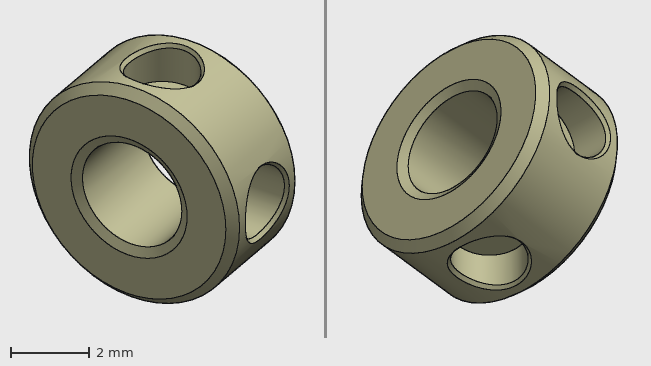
import cadquery as cq
import math

outer_diameter = 6.35
width = 3.17
bore_diameter = 3.0
outer_chamfer = 0.255
bore_chamfer_width = 0.255
bore_chamfer_angle = 30
bore_chamfer_depth = bore_chamfer_width * math.tan(math.radians(bore_chamfer_angle))

hole_count = 4
hole_diameter = 1.98
hole_depth = 1.15
mouth_chamfer_width = 0.065
mouth_chamfer_depth = 0.11
flare_stretch = 1.5
cutter_clearance = 0.32
curve_points = 32

outer_radius = outer_diameter / 2
hole_radius = hole_diameter / 2


def make_ring():
    """Ring chamfered on its outer edges and countersunk at both ends of the bore."""
    ring = (
        cq.Workplane("XZ")
        .circle(outer_radius)
        .extrude(width / 2, both=True)
        .faces("<Y or >Y")
        .edges()
        .chamfer(outer_chamfer)
    )
    bore_radius = bore_diameter / 2
    mouth_radius = bore_radius + bore_chamfer_width
    half_width = width / 2
    chamfer_start = half_width - bore_chamfer_depth
    bore = (
        cq.Workplane("XY")
        .moveTo(0, -half_width)
        .lineTo(mouth_radius, -half_width)
        .lineTo(bore_radius, -chamfer_start)
        .lineTo(bore_radius, chamfer_start)
        .lineTo(mouth_radius, half_width)
        .lineTo(0, half_width)
        .close()
        .revolve(360, (0, 0), (0, 1))
    )
    return ring.cut(bore)


def closed_curve(point_at):
    """Smooth closed wire through points evenly spaced by angle around a hole."""
    angles = [2 * math.pi * step / curve_points for step in range(curve_points)]
    points = [cq.Vector(*point_at(angle)) for angle in angles]
    return cq.Wire.assembleEdges([cq.Edge.makeSpline(points, periodic=True)])


def chamfer_height(angle):
    """Height of the inset ring surface above the point where the chamfer is centred."""
    inset_radius = outer_radius - mouth_chamfer_depth
    x = (hole_radius + mouth_chamfer_width) * math.cos(angle)
    return math.sqrt(inset_radius**2 - x**2)


def hole_wall_point(angle, z):
    return hole_radius * math.cos(angle), hole_radius * math.sin(angle), z


def mouth_point(angle):
    """Outer edge of the mouth chamfer, carried out from the inset surface along its normal."""
    outward_scale = outer_radius / (outer_radius - mouth_chamfer_depth)
    mouth_radius = hole_radius + mouth_chamfer_width
    x = mouth_radius * math.cos(angle) * outward_scale
    y = mouth_radius * math.sin(angle)
    return x, y, chamfer_height(angle) * outward_scale


def flared_point(angle):
    """Point where the slope of the mouth chamfer, carried on, has left the ring."""
    start = cq.Vector(*hole_wall_point(angle, chamfer_height(angle)))
    mouth = cq.Vector(*mouth_point(angle))
    return (start + (mouth - start) * flare_stretch).toTuple()


def make_hole_cutter():
    """Flat-bottomed hole pointing along +Z, with a chamfer that follows the curved mouth."""
    floor = closed_curve(lambda angle: hole_wall_point(angle, outer_radius - hole_depth))
    chamfer_start = closed_curve(lambda angle: hole_wall_point(angle, chamfer_height(angle)))
    flare = closed_curve(flared_point)
    top = closed_curve(lambda angle: (*flared_point(angle)[:2], outer_radius + cutter_clearance))
    return cq.Workplane(cq.Solid.makeLoft([floor, chamfer_start, flare, top], ruled=True))


result = make_ring()
hole_cutter = make_hole_cutter()
for index in range(hole_count):
    turn = index * 360 / hole_count
    result = result.cut(hole_cutter.rotate((0, 0, 0), (0, 1, 0), turn))